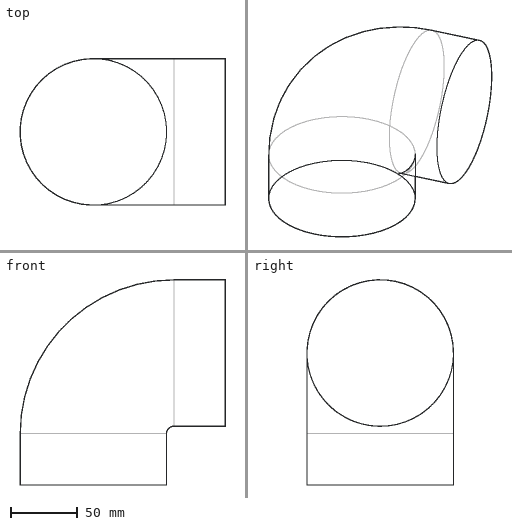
import cadquery as cq

overall_length = 154.0
pipe_diameter = 110.0
straight_length = 38.5
bend_angle = 90.0

pipe_radius = pipe_diameter / 2
bend_radius = overall_length - straight_length - pipe_radius


def straight_end(face):
    """Extend a flat end face of the bend into a straight cylinder."""
    return face.workplane(centerOption="CenterOfMass").circle(pipe_radius).extrude(straight_length)


bend = (
    cq.Workplane("XY")
    .circle(pipe_radius)
    .revolve(bend_angle, (bend_radius, 0, 0), (bend_radius, 1, 0))
)

with_lower_end = straight_end(bend.faces("<Z"))
result = straight_end(with_lower_end.faces(">X"))